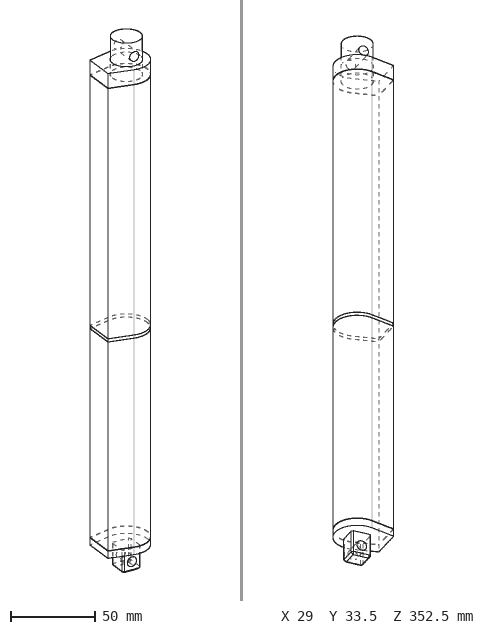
import cadquery as cq
import math

total_length = 352.5
tang_length = 15.5
rod_exposed = 15.5
body_bottom = tang_length
body_top = total_length - rod_exposed

back_radius = 14.5
front_y = -19.0
taper_angle = math.radians(13)

groove_depth = 0.18
cap_length = 10.0
bottom_cap_length = 5.0
cap_groove_width = 0.18
middle_groove_z = 160.0
middle_groove_width = 2.0

rod_diameter = 19.0
bore_diameter = 19.5
tang_width = 12.7
tang_corner_chamfer = 1.0
tang_end_chamfer = 1.5
pin_diameter = 6.5
rod_pin_z = total_length - 9.5
tang_pin_z = 6.7


def body_section(z, height, inset=0.0):
    """Extrude the body section upwards from z, shrunk all round by inset."""
    radius = back_radius - inset
    flat_y = front_y + inset
    tangent_x = radius * math.cos(taper_angle)
    tangent_y = -radius * math.sin(taper_angle)
    flat_half_width = (radius + flat_y * math.sin(taper_angle)) / math.cos(taper_angle)
    return (
        cq.Workplane("XY", origin=(0, 0, z))
        .moveTo(-flat_half_width, flat_y)
        .lineTo(flat_half_width, flat_y)
        .lineTo(tangent_x, tangent_y)
        .threePointArc((0, radius), (-tangent_x, tangent_y))
        .close()
        .extrude(height)
    )


def groove(center_z, width):
    """Shallow ring to remove from the outside of the body."""
    bottom = center_z - width / 2
    return body_section(bottom, width).cut(body_section(bottom, width, groove_depth))


def cross_pin_hole(z):
    """Pin hole along X through the Z axis."""
    return (
        cq.Workplane("YZ", origin=(0, 0, z))
        .circle(pin_diameter / 2)
        .extrude(back_radius, both=True)
    )


body = body_section(body_bottom, body_top - body_bottom)
joints = (
    (body_top - cap_length, cap_groove_width),
    (middle_groove_z, middle_groove_width),
    (body_bottom + bottom_cap_length, cap_groove_width),
)
for joint_z, joint_width in joints:
    body = body.cut(groove(joint_z, joint_width))

bore_bottom = body_top - cap_length
bore = cq.Workplane("XY", origin=(0, 0, bore_bottom)).circle(bore_diameter / 2).extrude(cap_length)
rod = (
    cq.Workplane("XY", origin=(0, 0, bore_bottom))
    .circle(rod_diameter / 2)
    .extrude(total_length - bore_bottom)
)

tang = (
    cq.Workplane("XY")
    .rect(tang_width, tang_width)
    .extrude(tang_length)
    .edges("|Z")
    .chamfer(tang_corner_chamfer)
    .faces("<Z")
    .chamfer(tang_end_chamfer)
)

result = body.cut(bore).union(rod).union(tang)
for pin_z in (rod_pin_z, tang_pin_z):
    result = result.cut(cross_pin_hole(pin_z))